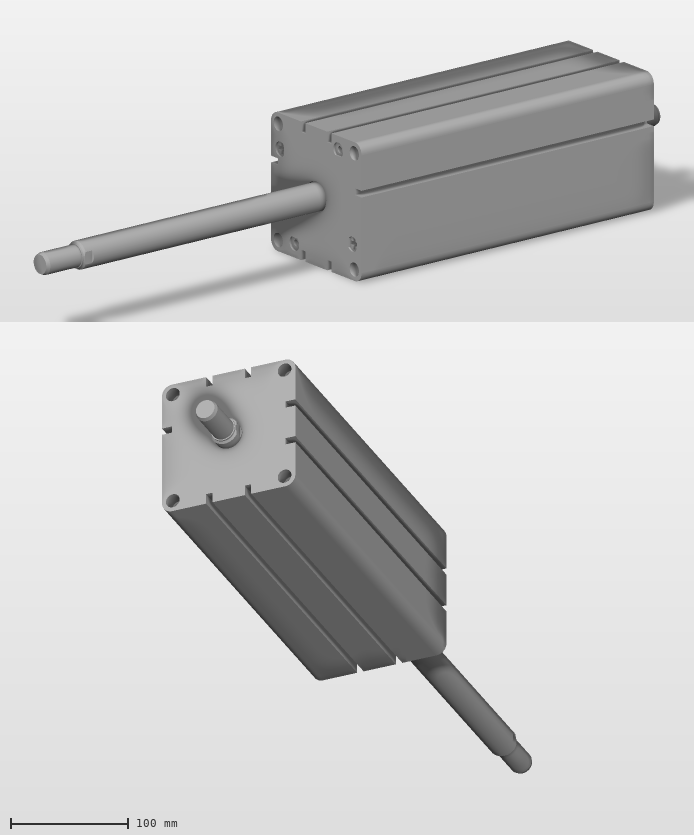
import cadquery as cq
BODY_SIZE = 124.0
BODY_REAR = 284.0
BODY_FRONT = -33.0
CORNER_RADIUS = 9.0

GROOVE_WIDTH = 6.0
GROOVE_DEPTH = 9.0
GROOVE_OFFSET = 18.0

TOTAL_LENGTH = 666.5
ROD_DIAMETER = 25.0
STUD_DIAMETER = 20.0
STUD_LENGTH = 37.0
STUD_CHAMFER = 1.0
STUD_CHAMFER_LENGTH = 3.0
COLLAR_DIAMETER = 22.0
COLLAR_LENGTH = 1.65
ROD_CHAMFER_LENGTH = 1.65
FLAT_SPACING = 22.5
FLAT_LENGTH = 10.0

RECESS_DIAMETER = 27.0
RECESS_DEPTH = 2.0

FIXING_OFFSET = 52.0
FIXING_DIAMETER = 8.5
COUNTERBORE_DIAMETER = 12.5
COUNTERBORE_DEPTH = 13.0

POCKET_LONG = 49.0
POCKET_SHORT = 30.0
POCKET_DIAMETER = 13.0
POCKET_FLAT = 5.0
POCKET_DEPTH = 2.0
SOCKET_DIAMETER = 6.0
SOCKET_DEPTH = 4.0
CROSS_WIDTH = 4.0
CROSS_LENGTH = 11.0

BODY_LENGTH = BODY_REAR - BODY_FRONT
HALF_SIZE = BODY_SIZE / 2
HALF_LENGTH = TOTAL_LENGTH / 2


def front_plane(y):
    """XZ sketch plane at the given Y, with its normal pointing to -Y."""
    return cq.Workplane("XZ", origin=(0, y, 0))


def make_body():
    block = front_plane(BODY_REAR).rect(BODY_SIZE, BODY_SIZE).extrude(BODY_LENGTH)
    return block.edges("|Y").fillet(CORNER_RADIUS)


def groove(offset, angle):
    """Groove in the top face at the given X offset, turned about Y to another face."""
    cutter = (
        front_plane(BODY_REAR)
        .center(offset, HALF_SIZE)
        .rect(GROOVE_WIDTH, 2 * GROOVE_DEPTH)
        .extrude(BODY_LENGTH)
    )
    return cutter.rotate((0, 0, 0), (0, 1, 0), angle)


def flat_cutter(rod_end):
    """Cutter for the +X wrench flat at the +Y rod end, running out at 45 degrees."""
    flat_x = FLAT_SPACING / 2
    flat_start = rod_end - FLAT_LENGTH
    outline = [
        (flat_x, rod_end),
        (flat_x, flat_start),
        (2 * flat_x, flat_start - flat_x),
        (2 * flat_x, rod_end),
    ]
    return cq.Workplane("XY").polyline(outline).close().extrude(ROD_DIAMETER / 2, both=True)


def make_rod():
    """Revolved half with chamfer, collar and stud, mirrored to both ends and given wrench flats."""
    stud_radius = STUD_DIAMETER / 2
    rod_end = HALF_LENGTH - STUD_LENGTH
    collar_start = rod_end - COLLAR_LENGTH
    half_profile = [
        (0, 0),
        (ROD_DIAMETER / 2, 0),
        (ROD_DIAMETER / 2, collar_start - ROD_CHAMFER_LENGTH),
        (COLLAR_DIAMETER / 2, collar_start),
        (COLLAR_DIAMETER / 2, rod_end),
        (stud_radius, rod_end),
        (stud_radius, HALF_LENGTH - STUD_CHAMFER_LENGTH),
        (stud_radius - STUD_CHAMFER, HALF_LENGTH),
        (0, HALF_LENGTH),
    ]
    half = cq.Workplane("XY").polyline(half_profile).close().revolve(360, (0, 0, 0), (0, 1, 0))
    rod = half.union(half.mirror("XZ"))
    flat = flat_cutter(rod_end)
    flats = flat.union(flat.mirror("YZ"))
    return rod.cut(flats).cut(flats.mirror("XZ"))


def fixing_holes():
    """Corner through holes, counterbored at both ends of the body."""
    offsets = (-FIXING_OFFSET, FIXING_OFFSET)
    corners = [(x, z) for x in offsets for z in offsets]
    holes = front_plane(BODY_REAR).pushPoints(corners).circle(FIXING_DIAMETER / 2).extrude(BODY_LENGTH)
    for start in (BODY_REAR, BODY_FRONT + COUNTERBORE_DEPTH):
        bores = front_plane(start).pushPoints(corners).circle(COUNTERBORE_DIAMETER / 2)
        holes = holes.union(bores.extrude(COUNTERBORE_DEPTH))
    return holes


def rod_recess():
    return front_plane(BODY_FRONT + RECESS_DEPTH).circle(RECESS_DIAMETER / 2).extrude(RECESS_DEPTH)


def screw_pocket(angle, crossed):
    """D-shaped pocket near the top edge, its flat towards the rod, turned about Y."""
    floor = BODY_FRONT + POCKET_DEPTH
    pocket = (
        front_plane(floor)
        .center(POCKET_SHORT, POCKET_LONG)
        .circle(POCKET_DIAMETER / 2)
        .extrude(POCKET_DEPTH)
    )
    keep = (
        front_plane(floor)
        .center(POCKET_SHORT, POCKET_LONG - POCKET_FLAT + POCKET_DIAMETER / 2)
        .rect(POCKET_DIAMETER, POCKET_DIAMETER)
        .extrude(POCKET_DEPTH)
    )
    pocket = pocket.intersect(keep)
    recess = front_plane(floor + SOCKET_DEPTH).center(POCKET_SHORT, POCKET_LONG)
    if crossed:
        pocket = pocket.union(recess.rect(CROSS_WIDTH, CROSS_LENGTH).extrude(SOCKET_DEPTH))
        pocket = pocket.union(recess.rect(CROSS_LENGTH, CROSS_WIDTH).extrude(SOCKET_DEPTH))
    else:
        pocket = pocket.union(recess.circle(SOCKET_DIAMETER / 2).extrude(SOCKET_DEPTH))
    return pocket.rotate((0, 0, 0), (0, 1, 0), angle)


GROOVES = [
    (-GROOVE_OFFSET, 0),
    (GROOVE_OFFSET, 0),
    (-GROOVE_OFFSET, 90),
    (-GROOVE_OFFSET, 180),
    (GROOVE_OFFSET, 180),
    (-GROOVE_OFFSET, 270),
    (GROOVE_OFFSET, 270),
]

body = make_body()
for offset, angle in GROOVES:
    body = body.cut(groove(offset, angle))
body = body.cut(fixing_holes()).cut(rod_recess())
for angle in (0, 180):
    body = body.cut(screw_pocket(angle, crossed=False))
    body = body.cut(screw_pocket(angle + 90, crossed=True))

result = body.union(make_rod())